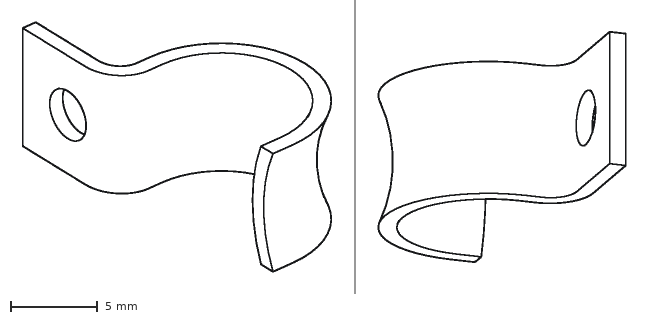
import cadquery as cq
import math

length = 19.83
strip_width = 8.0
thickness = 1.0
waist_bore_radius = 4.5
waist_curve_radius = 10.0
arch_center_y = 3.5
free_leg_end_y = 2.0
bend_inner_radius = 1.5
hole_diameter = 3.21
hole_x = 4.0

half_width = strip_width / 2
waist_outer_radius = waist_bore_radius + thickness
curve_center = waist_outer_radius + waist_curve_radius
inner_curve_radius = waist_curve_radius + thickness
bend_outer_radius = bend_inner_radius + thickness
bend_tangent_y = thickness + bend_inner_radius


def radius_at_edge(curve_radius):
    """Distance from the arch axis to a waist curve at the strip edge."""
    return curve_center - math.sqrt(curve_radius**2 - half_width**2)


arch_center_x = length - radius_at_edge(waist_curve_radius)
bend_axis_x = arch_center_x - curve_center


def strip_section():
    """Curved strip cross-section, facing Y, to the right of the arch axis."""
    inner_edge = arch_center_x + radius_at_edge(inner_curve_radius)
    return (
        cq.Workplane("XZ", origin=(0, arch_center_y, 0))
        .moveTo(inner_edge, -half_width)
        .threePointArc(
            (arch_center_x + waist_bore_radius, 0), (inner_edge, half_width)
        )
        .lineTo(length, half_width)
        .threePointArc(
            (arch_center_x + waist_outer_radius, 0), (length, -half_width)
        )
        .close()
    )


def make_arch():
    return strip_section().revolve(180, (arch_center_x, 0), (arch_center_x, 1))


def make_free_leg():
    return strip_section().extrude(arch_center_y - free_leg_end_y)


def make_tab_and_bend():
    """Turn the L profile about the waist curve axis, then trim to the strip."""
    leg_outer_x = bend_axis_x + waist_curve_radius
    leg_inner_x = bend_axis_x + inner_curve_radius
    bend_x = leg_inner_x - bend_outer_radius
    diagonal = math.sqrt(0.5)
    inner_mid = (
        bend_x + bend_inner_radius * diagonal,
        bend_tangent_y - bend_inner_radius * diagonal,
    )
    outer_mid = (
        bend_x + bend_outer_radius * diagonal,
        bend_tangent_y - bend_outer_radius * diagonal,
    )
    turned = (
        cq.Workplane("XY")
        .moveTo(bend_axis_x, 0)
        .lineTo(bend_x, 0)
        .threePointArc(outer_mid, (leg_inner_x, bend_tangent_y))
        .lineTo(leg_inner_x, arch_center_y)
        .lineTo(leg_outer_x, arch_center_y)
        .lineTo(leg_outer_x, bend_tangent_y)
        .threePointArc(inner_mid, (bend_x, thickness))
        .lineTo(bend_axis_x, thickness)
        .close()
        .revolve(360, (bend_axis_x, 0), (bend_axis_x, 1))
    )
    strip_envelope = cq.Workplane("XY").box(
        arch_center_x, arch_center_y, strip_width, centered=(False, False, True)
    )
    return turned.intersect(strip_envelope)


def make_hole():
    return (
        cq.Workplane("XZ")
        .center(hole_x, 0)
        .circle(hole_diameter / 2)
        .extrude(-thickness)
    )


result = make_tab_and_bend().union(make_arch()).union(make_free_leg()).cut(make_hole())